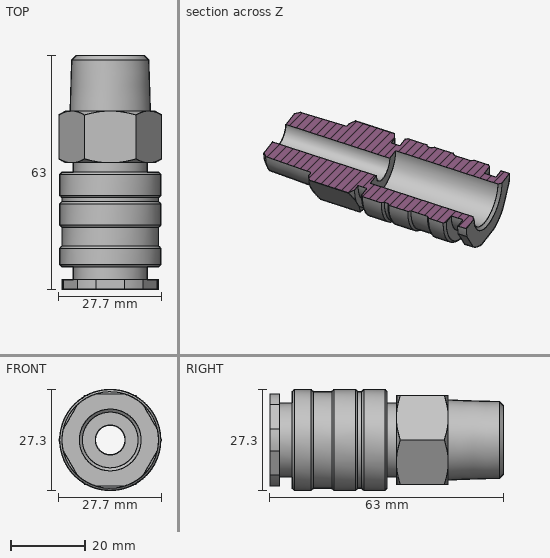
import cadquery as cq
import math

LENGTH = 63.0
FLANGE_THICKNESS = 2.65
SLEEVE_START = 6.05
SLEEVE_END = 31.6
NUT_START = 34.15
NUT_END = 48.0

SLEEVE_RADIUS = 27.3 / 2
GROOVE_RADIUS = 13.05
NECK_RADIUS = 10.0
EDGE_BEVEL = 0.6

GROOVES = [(11.1, 17.3), (23.05, 25.3)]

THREAD_BASE_RADIUS = 10.85
THREAD_TAPER = 1 / 32
THREAD_CHAMFER = 1.2

NUT_ACROSS_CORNERS = 27.7
NUT_FACE_RADIUS = 12.1
NUT_CHAMFER_ANGLE = 30.0

FLANGE_RADIUS = 13.0
FLANGE_ACROSS_FLATS = 24.8

SOCKET_RADIUS = 7.5
SOCKET_DEPTH = SLEEVE_END
MOUTH_CHAMFER = 0.8
PASSAGE_RADIUS = 4.0


def revolve_profile(points):
    """Revolve (radius, y) points, closed along the axis, about Y."""
    outline = [(0, points[0][1])] + points + [(0, points[-1][1])]
    return cq.Workplane("XY").polyline(outline).close().revolve(360, (0, 0, 0), (0, 1, 0))


def hexagon(across_corners, start, end):
    """Hexagonal prism along Y with two corners on the X axis."""
    plane = cq.Workplane("XZ", origin=(0, start, 0))
    return plane.polygon(6, across_corners).extrude(start - end)


def make_neck():
    return revolve_profile([(NECK_RADIUS, 0), (NECK_RADIUS, NUT_END)])


def make_sleeve():
    points = [
        (SLEEVE_RADIUS - EDGE_BEVEL, SLEEVE_START),
        (SLEEVE_RADIUS, SLEEVE_START + EDGE_BEVEL),
    ]
    for start, end in GROOVES:
        points += [
            (SLEEVE_RADIUS, start),
            (GROOVE_RADIUS, start + EDGE_BEVEL),
            (GROOVE_RADIUS, end - EDGE_BEVEL),
            (SLEEVE_RADIUS, end),
        ]
    points += [
        (SLEEVE_RADIUS, SLEEVE_END - EDGE_BEVEL),
        (SLEEVE_RADIUS - EDGE_BEVEL, SLEEVE_END),
    ]
    return revolve_profile(points)


def make_nut():
    corner_radius = NUT_ACROSS_CORNERS / 2
    bevel = (corner_radius - NUT_FACE_RADIUS) * math.tan(math.radians(NUT_CHAMFER_ANGLE))
    envelope = revolve_profile([
        (NUT_FACE_RADIUS, NUT_START),
        (corner_radius, NUT_START + bevel),
        (corner_radius, NUT_END - bevel),
        (NUT_FACE_RADIUS, NUT_END),
    ])
    return hexagon(NUT_ACROSS_CORNERS, NUT_START, NUT_END).intersect(envelope)


def make_thread():
    def radius_at(y):
        return THREAD_BASE_RADIUS - THREAD_TAPER * (y - NUT_END)

    chamfer_start = LENGTH - THREAD_CHAMFER
    tip_radius = radius_at(chamfer_start)
    return revolve_profile([
        (radius_at(NUT_END), NUT_END),
        (tip_radius, chamfer_start),
        (tip_radius - THREAD_CHAMFER, LENGTH),
    ])


def make_flange():
    disc = revolve_profile([(FLANGE_RADIUS, 0), (FLANGE_RADIUS, FLANGE_THICKNESS)])
    across_corners = FLANGE_ACROSS_FLATS / math.cos(math.pi / 6)
    return disc.intersect(hexagon(across_corners, 0, FLANGE_THICKNESS))


def make_bore():
    return revolve_profile([
        (SOCKET_RADIUS + MOUTH_CHAMFER, 0),
        (SOCKET_RADIUS, MOUTH_CHAMFER),
        (SOCKET_RADIUS, SOCKET_DEPTH),
        (PASSAGE_RADIUS, SOCKET_DEPTH),
        (PASSAGE_RADIUS, LENGTH),
    ])


body = make_neck()
for piece in (make_sleeve(), make_nut(), make_thread(), make_flange()):
    body = body.union(piece)

result = body.cut(make_bore())